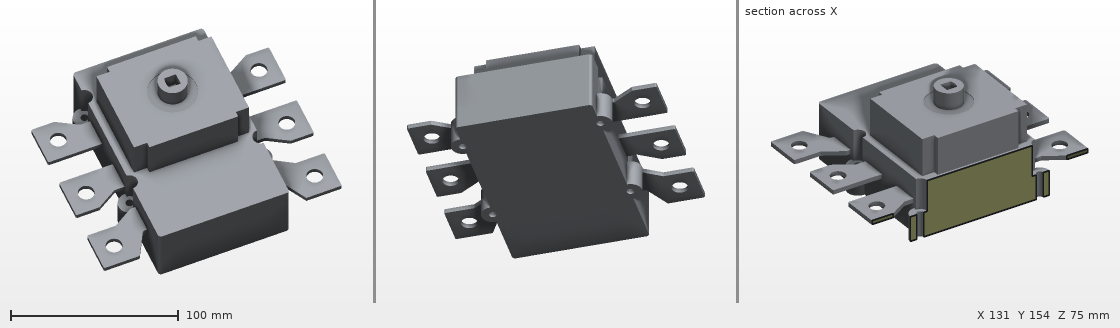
import cadquery as cq

BASE_LENGTH = 131.0
BASE_WIDTH = 84.5
BASE_HEIGHT = 38.5
BASE_CORNER_RADIUS = 2.0

BOSS_CENTRES_X = (-46.7, 21.3)
BOSS_CENTRE_Y = 42.5
BOSS_RADIUS = 7.1
BOSS_HEIGHT = 17.3
BOSS_HOLE_DIAMETER = 4.8
GROOVE_RADIUS = 5.0

MECHANISM_CENTRE_X = -12.7
MECHANISM_LENGTH = 64.0
MECHANISM_WIDTH = 74.5
MECHANISM_TOP = 64.0
NOTCH_LEFT = 3.8
NOTCH_RIGHT = 3.5
NOTCH_WIDTH = 8.5

RECESS_DIAMETER = 30.3
RECESS_DEPTH = 0.5
HUB_DIAMETER = 18.0
HUB_TOP = 75.0
SOCKET_WIDTH = 7.4
SOCKET_FRONT_BULGE = 0.7
SOCKET_DEPTH = 10.0

TERMINAL_BOTTOM = 20.5
TERMINAL_THICKNESS = 3.0
TERMINAL_END_Y = 77.0
TERMINAL_WIDTH = 26.0
TERMINAL_NECK_WIDTH = 18.0
TERMINAL_CORNER_RADIUS = 1.0
TERMINAL_HOLE_DIAMETER = 10.0
TERMINAL_HOLE_Y = 65.0
TERMINAL_PITCH = 42.2
MIDDLE_TERMINAL_X = 8.3
TAPER_OUTER_Y = 62.0
TAPER_INNER_Y = 48.8

OFFSET_NECK_SHIFT = 8.0
OFFSET_LEFT_OUTER_Y = 58.3
OFFSET_LEFT_INNER_Y = 45.5
OFFSET_RIGHT_OUTER_Y = 54.0
OFFSET_RIGHT_INNER_Y = 45.0
OFFSET_NECK_FILLET = 2.0

BASE_FACE_Y = BASE_WIDTH / 2
HALF_TERMINAL = TERMINAL_WIDTH / 2


def make_base():
    """Block with rounded vertical edges, four bosses and the grooves above them."""
    block = cq.Workplane("XY").box(BASE_LENGTH, BASE_WIDTH, BASE_HEIGHT, centered=(True, True, False))
    block = block.edges("|Z").fillet(BASE_CORNER_RADIUS)
    boss_points = [(x, side * BOSS_CENTRE_Y) for x in BOSS_CENTRES_X for side in (-1, 1)]
    bosses = cq.Workplane("XY").pushPoints(boss_points).circle(BOSS_RADIUS).extrude(BOSS_HEIGHT)
    grooves = (
        cq.Workplane("XY", origin=(0, 0, BOSS_HEIGHT))
        .pushPoints(boss_points)
        .circle(GROOVE_RADIUS)
        .extrude(BASE_HEIGHT - BOSS_HEIGHT)
    )
    holes = cq.Workplane("XY").pushPoints(boss_points).circle(BOSS_HOLE_DIAMETER / 2).extrude(BOSS_HEIGHT)
    return block.union(bosses).cut(grooves).cut(holes)


def make_mechanism():
    """Notched block with a shallow round recess in its top, sitting on the base."""
    height = MECHANISM_TOP - BASE_HEIGHT
    full_length = cq.Workplane("XY").box(
        MECHANISM_LENGTH, MECHANISM_WIDTH - 2 * NOTCH_WIDTH, height, centered=(True, True, False)
    )
    full_width = (
        cq.Workplane("XY")
        .center((NOTCH_LEFT - NOTCH_RIGHT) / 2, 0)
        .rect(MECHANISM_LENGTH - NOTCH_LEFT - NOTCH_RIGHT, MECHANISM_WIDTH)
        .extrude(height)
    )
    recess = (
        cq.Workplane("XY", origin=(0, 0, height - RECESS_DEPTH))
        .circle(RECESS_DIAMETER / 2)
        .extrude(RECESS_DEPTH)
    )
    block = full_length.union(full_width).cut(recess)
    return block.translate((MECHANISM_CENTRE_X, 0, BASE_HEIGHT))


def make_hub():
    """Round hub standing on the recess floor."""
    floor = MECHANISM_TOP - RECESS_DEPTH
    hub = cq.Workplane("XY", origin=(MECHANISM_CENTRE_X, 0, floor))
    return hub.circle(HUB_DIAMETER / 2).extrude(HUB_TOP - floor)


def make_socket():
    """Drive socket: square on three sides, with the front side bowed outwards."""
    half = SOCKET_WIDTH / 2
    return (
        cq.Workplane("XY", origin=(MECHANISM_CENTRE_X, 0, HUB_TOP - SOCKET_DEPTH))
        .moveTo(-half, -half)
        .threePointArc((0, -half - SOCKET_FRONT_BULGE), (half, -half))
        .lineTo(half, half)
        .lineTo(-half, half)
        .close()
        .extrude(SOCKET_DEPTH)
    )


def finish_terminal(plate):
    """Round the outer corners of a terminal plate and drill its bolt hole."""
    plate = plate.faces(">Y").edges("|Z").fillet(TERMINAL_CORNER_RADIUS)
    hole = (
        cq.Workplane("XY")
        .center(0, TERMINAL_HOLE_Y)
        .circle(TERMINAL_HOLE_DIAMETER / 2)
        .extrude(TERMINAL_THICKNESS)
    )
    return plate.cut(hole)


def make_tapered_terminal():
    """Terminal with a straight right edge, its left edge stepping in to the neck."""
    neck_left = HALF_TERMINAL - TERMINAL_NECK_WIDTH
    plate = (
        cq.Workplane("XY")
        .moveTo(HALF_TERMINAL, BASE_FACE_Y)
        .lineTo(HALF_TERMINAL, TERMINAL_END_Y)
        .lineTo(-HALF_TERMINAL, TERMINAL_END_Y)
        .lineTo(-HALF_TERMINAL, TAPER_OUTER_Y)
        .lineTo(neck_left, TAPER_INNER_Y)
        .lineTo(neck_left, BASE_FACE_Y)
        .close()
        .extrude(TERMINAL_THICKNESS)
    )
    return finish_terminal(plate)


def make_offset_terminal():
    """Terminal whose neck is shifted to the left of its bolt pad."""
    neck_left = -HALF_TERMINAL - OFFSET_NECK_SHIFT
    neck_right = neck_left + TERMINAL_NECK_WIDTH
    plate = (
        cq.Workplane("XY")
        .moveTo(neck_right, BASE_FACE_Y)
        .lineTo(neck_right, OFFSET_RIGHT_INNER_Y)
        .lineTo(HALF_TERMINAL, OFFSET_RIGHT_OUTER_Y)
        .lineTo(HALF_TERMINAL, TERMINAL_END_Y)
        .lineTo(-HALF_TERMINAL, TERMINAL_END_Y)
        .lineTo(-HALF_TERMINAL, OFFSET_LEFT_OUTER_Y)
        .lineTo(neck_left, OFFSET_LEFT_INNER_Y)
        .lineTo(neck_left, BASE_FACE_Y)
        .close()
        .extrude(TERMINAL_THICKNESS)
    )
    neck_point = (neck_right, OFFSET_RIGHT_INNER_Y, TERMINAL_THICKNESS / 2)
    neck_corner = cq.selectors.NearestToPointSelector(neck_point)
    plate = plate.edges("|Z").edges(neck_corner).fillet(OFFSET_NECK_FILLET)
    return finish_terminal(plate)


housing = make_base().union(make_mechanism()).union(make_hub()).cut(make_socket())

tapered = make_tapered_terminal()
terminal_row = [
    tapered.translate((MIDDLE_TERMINAL_X - TERMINAL_PITCH, 0, TERMINAL_BOTTOM)),
    tapered.mirror("YZ").translate((MIDDLE_TERMINAL_X, 0, TERMINAL_BOTTOM)),
    make_offset_terminal().translate((MIDDLE_TERMINAL_X + TERMINAL_PITCH, 0, TERMINAL_BOTTOM)),
]
terminals = []
for terminal in terminal_row:
    terminals.append(terminal.val())
    terminals.append(terminal.mirror("XZ").val())

result = cq.Compound.makeCompound([housing.val(), *terminals])